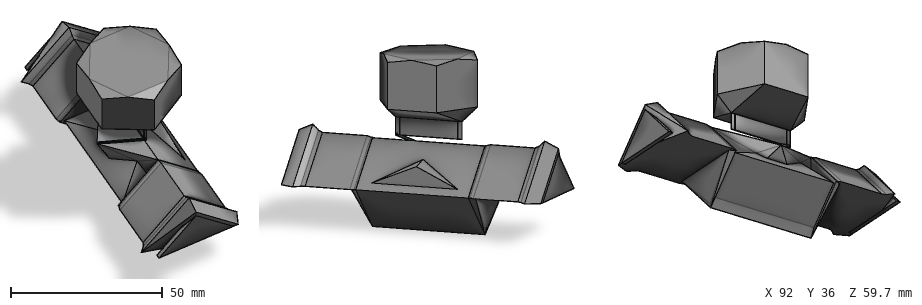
import cadquery as cq
import math

overall_length = 92.0
overall_width = 36.0
overall_height = 59.7

end_reach = 15.8
bead_reach = overall_width / 2
shoulder_reach = 16.1
pipe_reach = 15.5
collar_reach = 15.1
core_reach = 14.9
bore_reach = 13.4

end_x = overall_length / 2
bead_x = 41.1
shoulder_x = 39.1
pipe_outer_x = 37.7
pipe_inner_x = 21.9
collar_x = 20.5
core_x = 20.0

plug_reach = 14.0
plug_depth = 1.5

keel_wing_x = 22.1
keel_wing_reach = 13.8
keel_wing_tip = (-20.15, 0, -13.5)
keel_ridge_depth = 11.7

front_tip = (0, -12.05, 8.8)
lip_half_width = 4.0
lip_z = 3.9
left_foot = (-7.0, 5.8)
right_foot = (13.1, 9.3)

back_tip = (0, 11.0, 8.5)
back_foot_x = 15.3
back_foot_z = 2.2
back_crest_z = 9.8

neck_half_width = 11.8
neck_bottom_z = 16.5
neck_top_z = 22.45
neck_thickness = 0.3
panel_half_width = 10.3
panel_thickness = 0.5
strut_height = 0.8
strut_thickness = 0.4

nut_flat_reach = 15.0
nut_corner_reach = nut_flat_reach / math.cos(math.pi / 6)
nut_top_z = overall_height - core_reach
nut_chamfer = 1.3
nut_base_z = 27.8


def polyhedron(faces):
    """Solid bounded by flat faces, each face given as its list of corners."""
    walls = [cq.Face.makeFromWires(cq.Wire.makePolygon(corners, close=True))
             for corners in [[cq.Vector(*p) for p in face] for face in faces]]
    solid = cq.Solid.makeSolid(cq.Shell.makeShell(walls))
    return cq.Workplane(obj=cq.Solid(solid.fix().wrapped))


def upper_section(x, reach):
    """Corners of the upper half of a square standing on its corner, from front to back."""
    return [(x, -reach, 0), (x, 0, reach), (x, reach, 0)]


def prism_through(sections):
    """Solid through equal-sided sections, with flat faces between each pair."""
    faces = [sections[0], sections[-1]]
    for near, far in zip(sections, sections[1:]):
        for i in range(len(near)):
            j = (i + 1) % len(near)
            faces.append([near[i], near[j], far[j], far[i]])
    return polyhedron(faces)


def beaded_pipe():
    """Left pipe from the bead peak to the core."""
    stations = [
        (bead_x, bead_reach),
        (shoulder_x, shoulder_reach),
        (pipe_outer_x, pipe_reach),
        (pipe_inner_x, pipe_reach),
        (collar_x, collar_reach),
        (core_x, collar_reach),
    ]
    return prism_through([upper_section(-x, reach) for x, reach in stations])


def pipe_mouth():
    """Flare outside the bead: full at the back, sloping away at the front."""
    centre = (-end_x, 0, 0)
    end_top = (-end_x, 0, end_reach)
    end_back = (-end_x, end_reach, 0)
    bead_front, bead_top, bead_back = upper_section(-bead_x, bead_reach)
    return polyhedron([
        [centre, end_top, end_back],
        [end_top, bead_top, bead_back, end_back],
        [end_top, bead_front, bead_top],
        [centre, bead_front, end_top],
        [bead_front, bead_back, bead_top],
        [centre, end_back, bead_back, bead_front],
    ])


def end_plug():
    """Triangular plate that closes the left pipe mouth."""
    return prism_through([upper_section(-end_x, plug_reach), upper_section(-end_x + plug_depth, plug_reach)])


def core():
    """Middle of the tee, its front cut back to the bore."""
    outline = [(-bore_reach, 0), (0, bore_reach), (0, core_reach), (core_reach, 0),
               (0, -core_reach), (keel_ridge_depth - bore_reach, -keel_ridge_depth)]
    return cq.Workplane("YZ").polyline(outline).close().extrude(core_x, both=True)


def keel_wing():
    """Sloping wedge between the left end of the keel and the pipe."""
    front = (-keel_wing_x, -keel_wing_reach, 0)
    back = (-keel_wing_x, keel_wing_reach, 0)
    inner_front = (-core_x, -core_reach, 0)
    inner_back = (-core_x, core_reach, 0)
    inner_tip = (-core_x, 0, -core_reach)
    return polyhedron([
        [front, back, keel_wing_tip],
        [front, inner_front, inner_back, back],
        [front, keel_wing_tip, inner_tip],
        [front, inner_tip, inner_front],
        [back, inner_tip, keel_wing_tip],
        [back, inner_back, inner_tip],
        [inner_front, inner_tip, inner_back],
    ])


def on_bore(x, z):
    """Point on the flat front of the core."""
    return (x, z - bore_reach, z)


def front_blend():
    """Faceted bulge where the branch meets the front of the core."""
    left_top = (-core_x, 0, core_reach)
    right_top = (core_x, 0, core_reach)
    left_base = on_bore(-core_x, bore_reach)
    right_base = on_bore(core_x, bore_reach)
    left_corner = on_bore(-core_x, 0)
    right_corner = on_bore(core_x, 0)
    left = on_bore(*left_foot)
    right = on_bore(*right_foot)
    lip_left = on_bore(-lip_half_width, lip_z)
    lip_right = on_bore(lip_half_width, lip_z)
    return polyhedron([
        [left_corner, left, lip_left, lip_right, right, right_corner, right_base, left_base],
        [left_top, left_corner, left_base],
        [right_top, right_base, right_corner],
        [left_top, left_base, right_base, right_top],
        [left_top, right_top, front_tip],
        [left_top, front_tip, left],
        [left_top, left, left_corner],
        [front_tip, lip_left, left],
        [front_tip, lip_right, lip_left],
        [front_tip, right, lip_right],
        [right_top, right, front_tip],
        [right_top, right_corner, right],
    ])


def blend_pocket(x, foot):
    """Pocket between one end of the core and the foot of the front blend nearest to it."""
    top = (x, 0, core_reach)
    corner = on_bore(x, 0)
    inner = (x, 0, 0)
    return polyhedron([
        [top, corner, on_bore(*foot)],
        [top, on_bore(*foot), inner],
        [corner, inner, on_bore(*foot)],
        [top, inner, corner],
    ])


def back_blend():
    """Low pyramid on the back of the core."""
    left = (-back_foot_x, core_reach - back_foot_z, back_foot_z)
    right = (back_foot_x, core_reach - back_foot_z, back_foot_z)
    crest = (0, core_reach - back_crest_z, back_crest_z)
    return polyhedron([
        [left, right, crest],
        [left, back_tip, right],
        [left, crest, back_tip],
        [right, back_tip, crest],
    ])


def neck():
    """Thin upright plate with a raised middle panel."""
    height = neck_top_z - neck_bottom_z
    middle = (0, 0, neck_bottom_z + height / 2)
    plate = cq.Workplane("XY").box(2 * neck_half_width, neck_thickness, height).translate(middle)
    panel = cq.Workplane("XY").box(2 * panel_half_width, panel_thickness, height).translate(middle)
    return plate.union(panel)


def strut():
    """Thin bar from the tip of the front blend up to the lower right corner of the neck."""
    tip_x, tip_y, tip_z = front_tip
    half = strut_thickness / 2

    def section(x, y, z):
        return [(x - half, y, z - half), (x + half, y, z - half),
                (x + half, y, z + strut_height - half), (x - half, y, z + strut_height - half)]

    return prism_through([
        section(tip_x, tip_y + half, tip_z),
        section(neck_half_width - half, 0, neck_bottom_z),
    ])


def hex_ring(z):
    """Corners of the nut's hexagon at height z, two of them on the X axis."""
    angles = [i * math.pi / 3 for i in range(6)]
    return [(nut_corner_reach * math.cos(a), nut_corner_reach * math.sin(a), z) for a in angles]


def hex_nut():
    """Nut with chamfered top corners and an underside that narrows to the top edge of the neck."""
    lower = hex_ring(nut_base_z)
    corners = hex_ring(nut_top_z - nut_chamfer)
    mid_angles = [(i + 0.5) * math.pi / 3 for i in range(6)]
    mids = [(nut_flat_reach * math.cos(a), nut_flat_reach * math.sin(a), nut_top_z) for a in mid_angles]
    keel_right = (neck_half_width, 0, neck_top_z)
    keel_left = (-neck_half_width, 0, neck_top_z)
    faces = [mids]
    for i in range(6):
        j = (i + 1) % 6
        faces.append([lower[i], lower[j], corners[j], mids[i], corners[i]])
        faces.append([corners[i], mids[i], mids[i - 1]])
    faces += [
        [lower[1], lower[2], keel_left, keel_right],
        [lower[4], lower[5], keel_right, keel_left],
        [lower[0], lower[1], keel_right],
        [lower[5], lower[0], keel_right],
        [lower[2], lower[3], keel_left],
        [lower[3], lower[4], keel_left],
    ]
    return polyhedron(faces)


def tee_body():
    """Tee: two mirrored pipe ends, the core with its blends, the strut and the neck."""
    left_end = beaded_pipe().union(pipe_mouth()).cut(end_plug()).union(keel_wing())
    tee = core().union(left_end).union(left_end.mirror("YZ"))
    for feature in (front_blend(), back_blend(), strut(), neck()):
        tee = tee.union(feature)
    return tee.cut(blend_pocket(-core_x, left_foot)).cut(blend_pocket(core_x, right_foot))


tee = tee_body()
nut = hex_nut()
left_plug = end_plug()
plugs = [left_plug, left_plug.mirror("YZ")]

result = cq.Compound.makeCompound([tee.solids().val(), nut.val(), *[plug.val() for plug in plugs]])